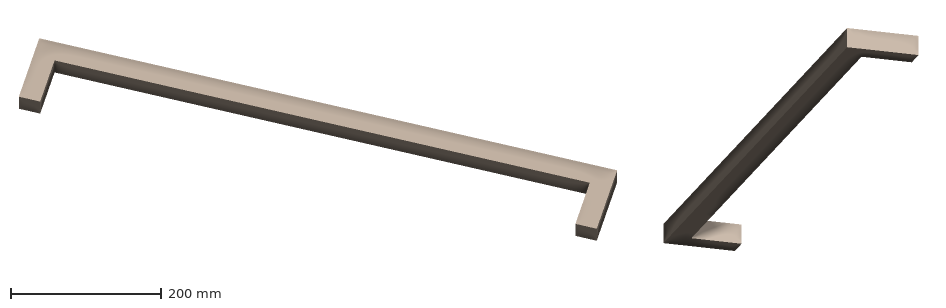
import cadquery as cq

length = 800.0
depth = 100.0
height = 27.0
bar_width = 30.0

skin = 2.0

recess_end_margin = 10.0
recess_edge_margin = 4.0
recess_depth = 1.0


def u_bar(inset):
    """U-shaped bar with legs toward -Y, moved inward by the inset on every face."""
    outer = cq.Workplane("XY").box(length - 2 * inset, depth - 2 * inset, height - 2 * inset)
    opening = (
        cq.Workplane("XY")
        .box(length - 2 * bar_width + 2 * inset, depth - bar_width + inset, height)
        .translate((0, (-bar_width - inset) / 2, 0))
    )
    return outer.cut(opening)


def make_core():
    """Solid bar under the skin, with a rectangular recess in its left end face."""
    recess = (
        cq.Workplane("YZ", origin=(-length / 2 + skin, 0, 0))
        .rect(depth - 2 * recess_end_margin, height - 2 * recess_edge_margin)
        .extrude(recess_depth)
    )
    return u_bar(skin).cut(recess)


def make_cover():
    """Closed skin of even thickness around the core."""
    return u_bar(0).cut(u_bar(skin))


core = make_core()
cover = make_cover()

result = cq.Compound.makeCompound([cover.val(), core.val()])